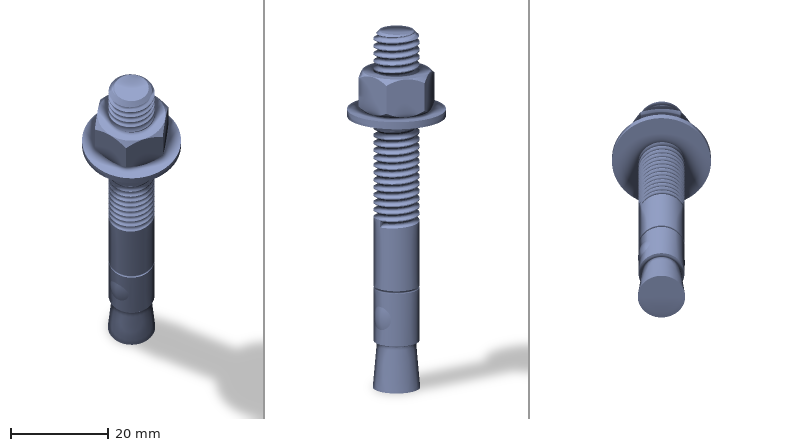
import cadquery as cq
import math

overall_length = 76.2
stud_diameter = 9.5
stud_radius = stud_diameter / 2
tip_chamfer = 1.2
neck_diameter = 7.8
cone_bottom_diameter = 9.75
cone_top_diameter = 8.1
cone_height = 9.6
shank_bottom = 21.8

turns_per_stud_length = 48
pitch = overall_length / turns_per_stud_length
thread_start = 35.7
thread_start_angle = 90.0
flank_angle = 30.0
crest_flat = pitch / 8
root_flat = pitch / 8
cutter_overshoot = 0.1
thread_depth = (pitch - crest_flat - root_flat) / 2 / math.tan(math.radians(flank_angle))

sleeve_diameter = 9.45
sleeve_bottom = 10.0
sleeve_top = 21.25
button_radius = 2.45
button_reach = 4.95
button_burial = 0.4

washer_bottom = 57.9
washer_thickness = 1.5
washer_diameter = 20.35
nut_bottom = washer_bottom + washer_thickness
nut_height = 8.2
nut_across_flats = 14.1
nut_corner_radius = nut_across_flats / math.sqrt(3)
nut_chamfer = 1.15


def make_thread_cutter():
    """Helical V groove that starts on the shank and leaves through the tip."""
    root_radius = stud_radius - thread_depth
    outer_radius = stud_radius + cutter_overshoot
    root_half = root_flat / 2
    outer_half = root_half + (outer_radius - root_radius) * math.tan(math.radians(flank_angle))
    groove_section = [
        (root_radius, -root_half),
        (outer_radius, -outer_half),
        (outer_radius, outer_half),
        (root_radius, root_half),
    ]
    helix_height = overall_length - thread_start + pitch
    edges = [
        cq.Wire.makeHelix(pitch, helix_height, radius).translate(cq.Vector(0, 0, height))
        for radius, height in groove_section
    ]
    next_edges = edges[1:] + edges[:1]
    flanks = [cq.Face.makeRuledSurface(edge, following) for edge, following in zip(edges, next_edges)]
    start_outline = cq.Wire.makePolygon([edge.startPoint() for edge in edges], close=True)
    end_outline = cq.Wire.makePolygon([edge.endPoint() for edge in edges], close=True)
    ends = [cq.Face.makeFromWires(outline) for outline in (start_outline, end_outline)]
    groove = cq.Workplane(cq.Solid.makeSolid(cq.Shell.makeShell(flanks + ends)))
    return groove.rotate((0, 0, 0), (0, 0, 1), thread_start_angle).translate((0, 0, thread_start))


def make_stud():
    """Turned stud with a flared cone, a neck for the sleeve and a threaded upper part."""
    neck_radius = neck_diameter / 2
    blank = (
        cq.Workplane("XZ")
        .polyline(
            [
                (0, 0),
                (cone_bottom_diameter / 2, 0),
                (cone_top_diameter / 2, cone_height),
                (neck_radius, cone_height),
                (neck_radius, shank_bottom),
                (stud_radius, shank_bottom),
                (stud_radius, overall_length - tip_chamfer),
                (stud_radius - tip_chamfer, overall_length),
                (0, overall_length),
            ]
        )
        .close()
        .revolve(360, (0, 0, 0), (0, 1, 0))
    )
    return blank.cut(make_thread_cutter())


def make_button(side):
    """Barrel-shaped swelling on the sleeve that points to -Y (side = -1) or +Y (side = 1).

    Its vertical axis and its profile arc are placed so that it fades into the sleeve
    at button_radius from its middle, both sideways and up and down.
    """
    middle_height = (sleeve_bottom + sleeve_top) / 2
    sleeve_radius = sleeve_diameter / 2
    rise = button_reach - sleeve_radius
    rim_depth = button_reach - math.sqrt(sleeve_radius**2 - button_radius**2)
    barrel_radius = (button_radius**2 + rim_depth**2) / (2 * rim_depth)
    profile_radius = (button_radius**2 + rise**2) / (2 * rise)
    profile_half = button_radius + button_burial
    end_radius = barrel_radius - profile_radius + math.sqrt(profile_radius**2 - profile_half**2)
    barrel = (
        cq.Workplane("XZ")
        .moveTo(0, -profile_half)
        .lineTo(end_radius, -profile_half)
        .threePointArc((barrel_radius, 0), (end_radius, profile_half))
        .lineTo(0, profile_half)
        .close()
        .revolve(360, (0, 0, 0), (0, 1, 0))
    )
    return barrel.translate((0, side * (button_reach - barrel_radius), middle_height))


def make_sleeve():
    """Plain tube around the neck with its two buttons."""
    sleeve = cq.Workplane("XY", origin=(0, 0, sleeve_bottom)).circle(sleeve_diameter / 2)
    sleeve = sleeve.extrude(sleeve_top - sleeve_bottom)
    for side in (-1, 1):
        sleeve = sleeve.union(make_button(side))
    bore = cq.Workplane("XY").circle(neck_diameter / 2).extrude(overall_length)
    return sleeve.cut(bore)


def make_washer():
    """Flat ring that fits the stud."""
    return (
        cq.Workplane("XY", origin=(0, 0, washer_bottom))
        .circle(washer_diameter / 2)
        .circle(stud_radius)
        .extrude(washer_thickness)
    )


def make_nut():
    """Hexagon with corners on the X axis, turned to a 45 degree chamfer at both ends."""
    hexagon = (
        cq.Workplane("XY", origin=(0, 0, nut_bottom))
        .polygon(6, 2 * nut_corner_radius)
        .circle(stud_radius)
        .extrude(nut_height)
    )
    turned_envelope = (
        cq.Workplane("XY", origin=(0, 0, nut_bottom))
        .circle(nut_corner_radius)
        .extrude(nut_height)
        .faces("<Z or >Z")
        .chamfer(nut_chamfer)
    )
    return hexagon.intersect(turned_envelope)


stud = make_stud()
sleeve = make_sleeve()
washer = make_washer()
nut = make_nut()

result = cq.Compound.makeCompound(
    [
        *stud.solids().vals(),
        *sleeve.solids().vals(),
        *washer.solids().vals(),
        *nut.solids().vals(),
    ]
)